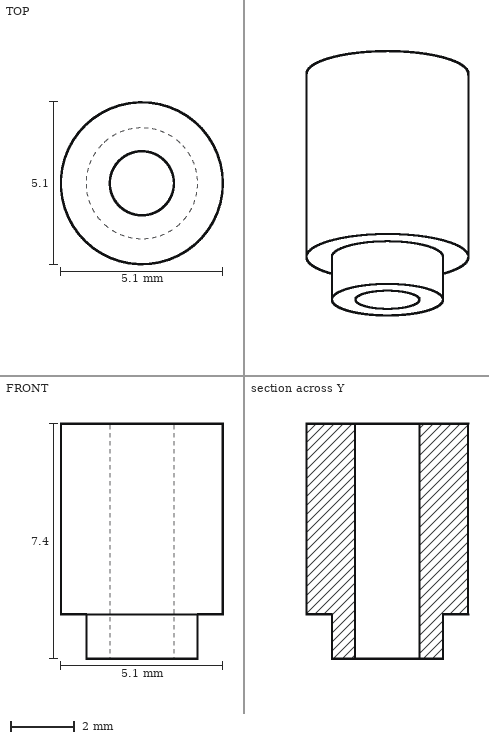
import cadquery as cq

body_diameter = 5.1
body_height = 6.0
spigot_diameter = 3.5
spigot_length = 1.4
bore_diameter = 2.01


def make_body():
    """Main cylinder, standing on the XY plane."""
    return cq.Workplane("XY").circle(body_diameter / 2).extrude(body_height)


def add_spigot(part):
    """Concentric spigot below the shoulder at Z = 0."""
    spigot = cq.Workplane("XY").circle(spigot_diameter / 2).extrude(-spigot_length)
    return part.union(spigot)


def cut_bore(part):
    """Axial bore through the body and the spigot."""
    return part.faces(">Z").workplane().hole(bore_diameter)


result = cut_bore(add_spigot(make_body()))